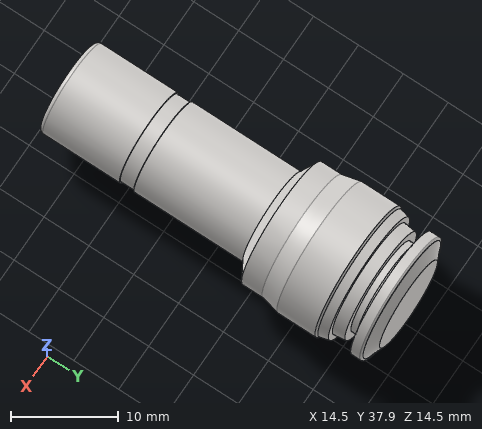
import cadquery as cq
import math

total_length = 37.9
y_tip = -total_length / 2

stem_radius = 5.0
stem_length = 22.75
tip_round = 0.45
groove_radius = 4.85
groove_start = 9.0
groove_width = 1.6
bore_radius = 3.5
bore_depth = stem_length

body_radius = 7.25
body_end_radius = 6.8
stem_cone_length = 1.05
rear_band_length = 2.3
rear_taper_length = 1.95
main_band_length = 4.25
body_chamfer_radius = 7.05
body_chamfer_length = 0.2
front_taper_length = 1.0

collar_base_radius = 6.15
collar_tip_radius = 6.0
collar_length = 1.3

neck_radius = 5.0
neck_length = 0.7
neck_flare_radius = 5.35
neck_flare_length = 0.45
flange_radius = 6.8
rim_round = 0.2
rim_crease_angle = math.radians(55)
button_front_setback = 0.72
button_tip_radius = 4.85

body_start = stem_length
rear_band_start = body_start + stem_cone_length
rear_taper_start = rear_band_start + rear_band_length
main_band_start = rear_taper_start + rear_taper_length
body_chamfer_start = main_band_start + main_band_length
front_taper_start = body_chamfer_start + body_chamfer_length
body_end = front_taper_start + front_taper_length
collar_end = body_end + collar_length
neck_end = collar_end + neck_length
flange_start = neck_end + neck_flare_length


def revolve_profile(points):
    """Solid of revolution about Y; points are (radius, station) along the outer outline."""
    first_station = points[0][1]
    last_station = points[-1][1]
    outline = [(0, first_station)] + points + [(0, last_station)]
    return (
        cq.Workplane("XY", origin=(0, y_tip, 0))
        .polyline(outline)
        .close()
        .revolve(360, (0, 0, 0), (0, 1, 0))
    )


def make_stem():
    groove_end = groove_start + groove_width
    stem = revolve_profile([
        (stem_radius, 0),
        (stem_radius, groove_start),
        (groove_radius, groove_start),
        (groove_radius, groove_end),
        (stem_radius, groove_end),
        (stem_radius, body_start),
    ])
    stem = stem.faces("<Y").edges().fillet(tip_round)
    bore = revolve_profile([(bore_radius, 0), (bore_radius, bore_depth)])
    return stem.cut(bore)


def make_body():
    return revolve_profile([
        (stem_radius, body_start),
        (body_end_radius, rear_band_start),
        (body_end_radius, rear_taper_start),
        (body_radius, main_band_start),
        (body_radius, body_chamfer_start),
        (body_chamfer_radius, front_taper_start),
        (body_end_radius, body_end),
    ])


def make_collar():
    return revolve_profile([
        (collar_base_radius, body_end),
        (collar_tip_radius, collar_end),
    ])


def make_button():
    rim_center_radius = flange_radius - rim_round
    rim_center_station = total_length - button_front_setback - rim_round
    crease_radius = rim_center_radius - rim_round * math.cos(rim_crease_angle)
    crease_station = rim_center_station + rim_round * math.sin(rim_crease_angle)
    return (
        cq.Workplane("XY", origin=(0, y_tip, 0))
        .moveTo(0, collar_end)
        .lineTo(neck_radius, collar_end)
        .lineTo(neck_radius, neck_end)
        .lineTo(neck_flare_radius, flange_start)
        .lineTo(flange_radius, flange_start)
        .lineTo(flange_radius, rim_center_station)
        .threePointArc(
            (rim_center_radius, rim_center_station + rim_round),
            (crease_radius, crease_station),
        )
        .lineTo(button_tip_radius, total_length)
        .lineTo(0, total_length)
        .close()
        .revolve(360, (0, 0, 0), (0, 1, 0))
    )


result = make_stem().union(make_body()).union(make_collar()).union(make_button())